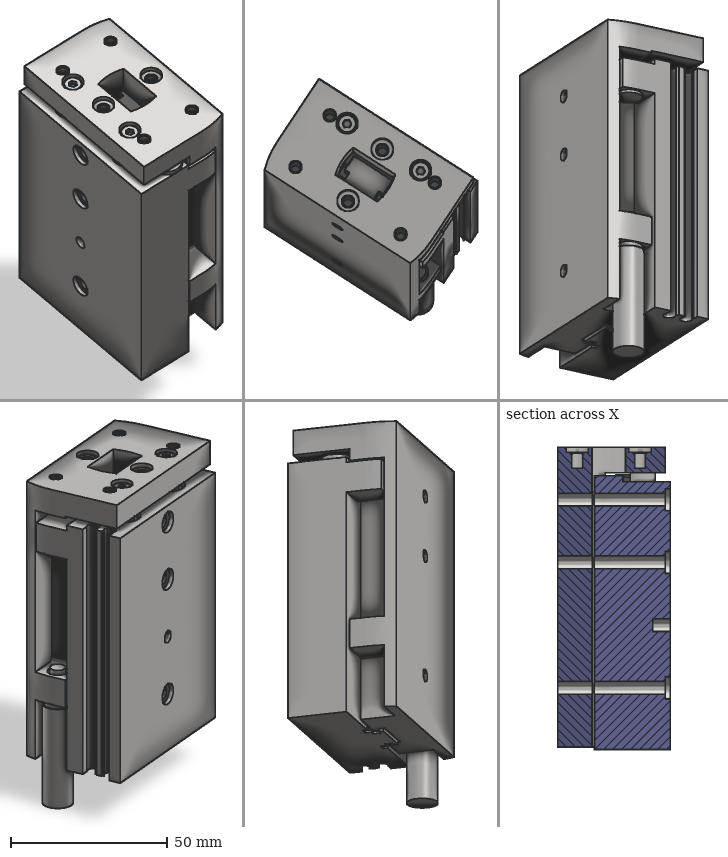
import cadquery as cq
import math


TOTAL_LENGTH = 111.4

HOUSING_WIDTH = 60.0
HOUSING_HEIGHT = 19.8
HOUSING_LENGTH = 85.7
CHANNEL_FLOOR = 18.3

SLIDE_WIDTH = 58.9
SLIDE_BOTTOM = 20.7
SLIDE_BACK = 36.0
SLIDE_START = 0.8
SIDE_ARC_START = 26.3
SIDE_ARC_RADIUS = 29.5
RIB_HALF_WIDTH = 9.8
RIB_BOTTOM = 18.8
RIB_TOP_END = 84.7
PLATE_FRONT = 1.6
PLATE_BOTTOM = 88.5
PLATE_TOP = 96.7

RAIL_WIDTH = 14.7
RAIL_BOTTOM = 15.0
RAIL_TOP = 24.3
RAIL_LENGTH = 87.6
RAIL_CHANNEL_TOP = 25.0
NOTCH_DEPTH = 1.8
NOTCH_BOTTOM = 20.4
NOTCH_TOP = 22.8

WINDOW_BOTTOM = 14.4
WINDOW_CORNER_HALF_WIDTH = 8.0
WINDOW_MIDDLE_HALF_WIDTH = 8.8
WINDOW_FLOOR = 82.4

POCKET_WALL_X = 18.6
POCKET_BACK = 32.2
POCKET_FILLET = 1.3
POCKET_TOP = 87.8
LUG_TOP = 31.2
LUG_BOTTOM = 21.5

BLOCK_WALL_X = 19.5
BLOCK_BACK = 31.4
BLOCK_BOTTOM = 73.9
BLOCK_TOP = 83.9
PAD_DIAMETER = 9.0
PAD_THICKNESS = 1.0
BLOCK_CLEARANCE = 0.7

GROOVE_MOUTHS = [(4.1, 8.0), (9.8, 13.9)]
GROOVE_NECKS = [(4.8, 7.4), (10.6, 13.9)]
GROOVE_MOUTH_DEPTH = 2.1
GROOVE_BORE_DEPTH = 3.8
GROOVE_BORE = 4.0
GROOVE_RIB_INSET = 1.7

HOLE_PITCH = 20.0
THROUGH_DIAMETER = 4.0
COUNTERBORE_DIAMETER = 7.0
COUNTERBORE_DEPTH = 1.6
LOWEST_HOLE_Z = 19.7
THROUGH_HOLE_STEPS = [0, 2, 3]
PIN_HOLE_STEP = 1
PIN_HOLE_DEPTH = 5.6
PLATE_HOLE_ROW_Y = 9.7
PLATE_THREAD_DIAMETER = 3.2
PLATE_THREAD_MOUTH = 4.1
PLATE_THREAD_DEPTH = 6.7

ROD_X = 14.0
ROD_Y = 8.8
ROD_DIAMETER = 8.0
ROD_DEPTH = 22.3
ROD_RECESS_DIAMETER = 12.0
ROD_RECESS_DEPTH = 2.2
SHANK_DIAMETER = 4.0
HEAD_DIAMETER = 6.0
HEAD_RECESS_DIAMETER = 6.9
HEAD_RECESS_DEPTH = 3.3
HEAD_HEIGHT = 2.5
HEAD_CHAMFER = 0.28
SOCKET_SIZE = 2.5
SOCKET_DEPTH = 1.5

DAMPER_X = 24.5
DAMPER_Y = 26.4
DAMPER_DIAMETER = 10.0
DAMPER_NECK_DIAMETER = 9.0
DAMPER_PIN_DIAMETER = 5.0
DAMPER_SHOULDER_Z = 19.9
DAMPER_PIN_TOP = 32.5
DAMPER_PIN_HOLE = 6.7
DAMPER_END = PLATE_TOP - TOTAL_LENGTH

STOPPER_X = 25.0
STOPPER_Y = 14.9
STOPPER_DIAMETER = 10.0
STOPPER_PIN_DIAMETER = 5.0
STOPPER_TOP = 87.1
STOPPER_PIN_TOP = 87.9


def box(x, y, z):
    """Box between the given (low, high) limits along each axis."""
    size = (x[1] - x[0], y[1] - y[0], z[1] - z[0])
    return cq.Workplane("XY").box(*size, centered=False).translate((x[0], y[0], z[0]))


def upright(x, y, z_low, z_high, diameter):
    """Cylinder along Z."""
    return cq.Workplane("XY", origin=(x, y, z_low)).circle(diameter / 2).extrude(z_high - z_low)


def along_y(z, y_low, y_high, diameter):
    """Cylinder along Y at the middle of the width."""
    solid = cq.Solid.makeCylinder(diameter / 2, y_high - y_low, cq.Vector(0, y_low, z), cq.Vector(0, 1, 0))
    return cq.Workplane(obj=solid)


def arc_inset(rise):
    """How far the side arc has moved inward at a height above its start."""
    return SIDE_ARC_RADIUS - math.sqrt(SIDE_ARC_RADIUS**2 - rise**2)


def round_sided(width, y_low, y_high, z_low, z_high):
    """Block over the width whose sides curve inward above SIDE_ARC_START."""
    half = width / 2
    rise = y_high - SIDE_ARC_START
    top_half = half - arc_inset(rise)
    middle = (half - arc_inset(rise / 2), SIDE_ARC_START + rise / 2)
    return (
        cq.Workplane("XY", origin=(0, 0, z_low))
        .moveTo(-half, y_low)
        .lineTo(half, y_low)
        .lineTo(half, SIDE_ARC_START)
        .threePointArc(middle, (top_half, y_high))
        .lineTo(-top_half, y_high)
        .threePointArc((-middle[0], middle[1]), (-half, SIDE_ARC_START))
        .close()
        .extrude(z_high - z_low)
    )


def through_hole_heights():
    return [LOWEST_HOLE_Z + step * HOLE_PITCH for step in THROUGH_HOLE_STEPS]


def drill_through(body):
    for z in through_hole_heights():
        body = body.cut(along_y(z, 0, SLIDE_BACK, THROUGH_DIAMETER))
    return body


def rail_notch(side, z_low, z_high):
    """Running groove of the rail on one side, also the shape of the slide's key in it."""
    outer = side * RAIL_WIDTH / 2
    inner = outer - side * NOTCH_DEPTH
    return box(sorted((inner, outer)), (NOTCH_BOTTOM, NOTCH_TOP), (z_low, z_high))


def side_groove(mouth, neck):
    """Keyhole groove in the -X side: wide mouth, narrower neck and round bottom."""
    face = -HOUSING_WIDTH / 2
    bore_x = face + GROOVE_BORE_DEPTH
    length = (0, HOUSING_LENGTH)
    groove = box((face, face + GROOVE_MOUTH_DEPTH), mouth, length)
    groove = groove.union(box((face, bore_x), neck, length))
    return groove.union(upright(bore_x, sum(neck) / 2, *length, GROOVE_BORE))


def stop_blocks():
    blocks = round_sided(HOUSING_WIDTH, HOUSING_HEIGHT, BLOCK_BACK, BLOCK_BOTTOM, BLOCK_TOP)
    middle = box((-BLOCK_WALL_X, BLOCK_WALL_X), (HOUSING_HEIGHT, BLOCK_BACK), (BLOCK_BOTTOM, BLOCK_TOP))
    pad = upright(-DAMPER_X, DAMPER_Y, BLOCK_BOTTOM - PAD_THICKNESS, BLOCK_BOTTOM, PAD_DIAMETER)
    return blocks.cut(middle).union(pad)


def make_housing():
    half = HOUSING_WIDTH / 2
    length = (0, HOUSING_LENGTH)
    body = box((-half, half), (0, HOUSING_HEIGHT), length)
    body = body.cut(box((-RIB_HALF_WIDTH, RIB_HALF_WIDTH), (CHANNEL_FLOOR, HOUSING_HEIGHT), length))

    half_rail = RAIL_WIDTH / 2
    rail = box((-half_rail, half_rail), (RAIL_BOTTOM, RAIL_TOP), (0, RAIL_LENGTH))
    for side in (-1, 1):
        rail = rail.cut(rail_notch(side, 0, RAIL_LENGTH))
    body = body.union(rail).union(stop_blocks())

    for mouth, neck in zip(GROOVE_MOUTHS, GROOVE_NECKS):
        body = body.cut(side_groove(mouth, neck))
    rib = (GROOVE_MOUTHS[0][1], GROOVE_MOUTHS[1][0])
    body = body.cut(box((-half, -half + GROOVE_RIB_INSET), rib, length))

    body = drill_through(body)
    for z in through_hole_heights():
        body = body.cut(along_y(z, 0, COUNTERBORE_DEPTH, COUNTERBORE_DIAMETER))
    pin_z = LOWEST_HOLE_Z + PIN_HOLE_STEP * HOLE_PITCH
    body = body.cut(along_y(pin_z, 0, PIN_HOLE_DEPTH, THROUGH_DIAMETER))

    for side in (-1, 1):
        x = side * ROD_X
        body = body.cut(upright(x, ROD_Y, HOUSING_LENGTH - ROD_DEPTH, HOUSING_LENGTH, ROD_DIAMETER))
        recess_floor = HOUSING_LENGTH - ROD_RECESS_DEPTH
        body = body.cut(upright(x, ROD_Y, recess_floor, HOUSING_LENGTH, ROD_RECESS_DIAMETER))
    return body


def side_pocket(side, z_low, z_high):
    """Pocket open to one side and to the housing, with rounded inner corners."""
    x = sorted((side * POCKET_WALL_X, side * SLIDE_WIDTH))
    pocket = box(x, (0, POCKET_BACK), (z_low, z_high))
    return pocket.edges("|Y").edges(">X" if side < 0 else "<X").fillet(POCKET_FILLET)


def end_window():
    middle_y = (WINDOW_BOTTOM + RAIL_CHANNEL_TOP) / 2
    corner = WINDOW_CORNER_HALF_WIDTH
    return (
        cq.Workplane("XY", origin=(0, 0, WINDOW_FLOOR))
        .moveTo(-corner, WINDOW_BOTTOM)
        .lineTo(corner, WINDOW_BOTTOM)
        .threePointArc((WINDOW_MIDDLE_HALF_WIDTH, middle_y), (corner, RAIL_CHANNEL_TOP))
        .lineTo(-corner, RAIL_CHANNEL_TOP)
        .threePointArc((-WINDOW_MIDDLE_HALF_WIDTH, middle_y), (-corner, WINDOW_BOTTOM))
        .close()
        .extrude(PLATE_TOP - WINDOW_FLOOR)
    )


def drill_plate(body):
    """Threaded corner holes and counterbored middle holes in two rows, and the rod screw holes."""
    for y in (PLATE_HOLE_ROW_Y, PLATE_HOLE_ROW_Y + HOLE_PITCH):
        for x in (-HOLE_PITCH, 0, HOLE_PITCH):
            body = body.cut(upright(x, y, PLATE_TOP - PLATE_THREAD_DEPTH, PLATE_TOP, PLATE_THREAD_DIAMETER))
            mouth_bottom = PLATE_TOP - (PLATE_THREAD_MOUTH - PLATE_THREAD_DIAMETER) / 2
            if x == 0:
                mouth_bottom -= COUNTERBORE_DEPTH
                body = body.cut(upright(x, y, PLATE_TOP - COUNTERBORE_DEPTH, PLATE_TOP, COUNTERBORE_DIAMETER))
            body = body.cut(upright(x, y, mouth_bottom, PLATE_TOP, PLATE_THREAD_MOUTH))
    for side in (-1, 1):
        x = side * ROD_X
        body = body.cut(upright(x, ROD_Y, PLATE_BOTTOM, PLATE_TOP, SHANK_DIAMETER))
        body = body.cut(upright(x, ROD_Y, PLATE_TOP - HEAD_RECESS_DEPTH, PLATE_TOP, HEAD_RECESS_DIAMETER))
    return body


def make_slide():
    body = round_sided(SLIDE_WIDTH, SLIDE_BOTTOM, SLIDE_BACK, SLIDE_START, PLATE_TOP)
    body = body.union(round_sided(SLIDE_WIDTH, PLATE_FRONT, SLIDE_BACK, PLATE_BOTTOM, PLATE_TOP))
    rib_x = (-RIB_HALF_WIDTH, RIB_HALF_WIDTH)
    body = body.union(box(rib_x, (RIB_BOTTOM, SLIDE_BOTTOM), (SLIDE_START, RIB_TOP_END)))

    half_rail = RAIL_WIDTH / 2
    guide_length = (SLIDE_START, WINDOW_FLOOR)
    body = body.cut(box((-half_rail, half_rail), (RIB_BOTTOM, RAIL_CHANNEL_TOP), guide_length))
    for side in (-1, 1):
        body = body.union(rail_notch(side, *guide_length))
    body = body.cut(end_window())

    pocket_start = SLIDE_START - POCKET_FILLET
    upper_ends = {-1: POCKET_TOP, 1: BLOCK_TOP + BLOCK_CLEARANCE}
    for side, upper_end in upper_ends.items():
        body = body.cut(side_pocket(side, LUG_TOP, upper_end))
        body = body.cut(side_pocket(side, pocket_start, LUG_BOTTOM))

    body = body.cut(upright(-DAMPER_X, DAMPER_Y, LUG_BOTTOM, LUG_TOP, DAMPER_PIN_HOLE))
    return drill_plate(drill_through(body))


def make_rod(x):
    """Piston rod that carries the end plate, with its socket-head screw."""
    head_bottom = PLATE_TOP - HEAD_RECESS_DEPTH
    head_top = head_bottom + HEAD_HEIGHT
    rod = upright(x, ROD_Y, HOUSING_LENGTH - ROD_DEPTH, PLATE_BOTTOM, ROD_DIAMETER)
    rod = rod.union(upright(x, ROD_Y, PLATE_BOTTOM, head_bottom, SHANK_DIAMETER))
    rod = rod.union(upright(x, ROD_Y, head_bottom, head_top, HEAD_DIAMETER))
    socket = (
        cq.Workplane("XY", origin=(x, ROD_Y, head_top - SOCKET_DEPTH))
        .polygon(6, SOCKET_SIZE, circumscribed=True)
        .extrude(SOCKET_DEPTH)
    )
    return rod.faces(">Z").chamfer(HEAD_CHAMFER).cut(socket)


def make_damper():
    x = -DAMPER_X
    body = upright(x, DAMPER_Y, DAMPER_END, DAMPER_SHOULDER_Z, DAMPER_DIAMETER)
    body = body.union(upright(x, DAMPER_Y, DAMPER_SHOULDER_Z, LUG_BOTTOM, DAMPER_NECK_DIAMETER))
    return body.union(upright(x, DAMPER_Y, LUG_BOTTOM, DAMPER_PIN_TOP, DAMPER_PIN_DIAMETER))


def make_stopper():
    disc = upright(STOPPER_X, STOPPER_Y, HOUSING_LENGTH, STOPPER_TOP, STOPPER_DIAMETER)
    return disc.union(upright(STOPPER_X, STOPPER_Y, STOPPER_TOP, STOPPER_PIN_TOP, STOPPER_PIN_DIAMETER))


housing = make_housing()
slide = make_slide()
rods = [make_rod(side * ROD_X) for side in (-1, 1)]
damper = make_damper()
stopper = make_stopper()

result = cq.Compound.makeCompound(
    [housing.val(), slide.val(), *[rod.val() for rod in rods], damper.val(), stopper.val()]
)